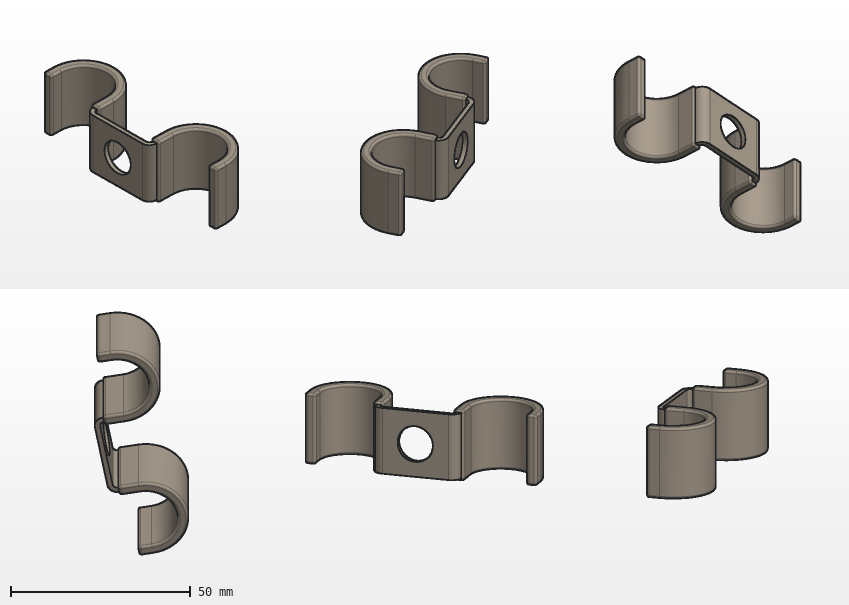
import cadquery as cq

overall_length = 68.1
strip_thickness = 1.5
strip_width = 19.05
sleeve_cover = 0.75
hook_outer_radius = 11.85
free_leg_length = 3.9
inner_leg_length = 5.8
strip_drop = 8.65
bend_inner_radius = 1.35
hole_diameter = 10.35

sleeve_thickness = strip_thickness + 2 * sleeve_cover
sleeve_width = strip_width + 2 * sleeve_cover
hook_inner_radius = hook_outer_radius - sleeve_thickness
hook_center_x = overall_length / 2 - hook_outer_radius
bend_outer_radius = bend_inner_radius + strip_thickness
strip_half_length = hook_center_x - hook_inner_radius - sleeve_cover
strip_top = strip_thickness - strip_drop



def make_hook():
    """Left-hand sleeve: a half ring with two straight legs and rounded edges."""
    outer = hook_outer_radius
    inner = hook_inner_radius
    return (
        cq.Workplane("XY")
        .center(-hook_center_x, 0)
        .moveTo(-outer, -free_leg_length)
        .lineTo(-outer, 0)
        .threePointArc((0, outer), (outer, 0))
        .lineTo(outer, -inner_leg_length)
        .lineTo(inner, -inner_leg_length)
        .lineTo(inner, 0)
        .threePointArc((0, inner), (-inner, 0))
        .lineTo(-inner, -free_leg_length)
        .close()
        .extrude(sleeve_width / 2, both=True)
        .edges("|Z or #Z")
        .fillet(sleeve_cover)
    )


def make_strip():
    """Bent strip whose upturned ends run into the inner legs of the sleeves."""
    height = strip_drop - inner_leg_length / 2
    inner_half_length = strip_half_length - strip_thickness
    channel = (
        cq.Workplane("XY")
        .center(0, -strip_drop + height / 2)
        .rect(2 * strip_half_length, height)
        .extrude(strip_width / 2, both=True)
        .edges("|Z and <Y")
        .fillet(bend_outer_radius)
    )
    opening = (
        cq.Workplane("XY")
        .center(0, strip_top + height / 2)
        .rect(2 * inner_half_length, height)
        .extrude(strip_width / 2, both=True)
        .edges("|Z and <Y")
        .fillet(bend_inner_radius)
    )
    hole = (
        cq.Workplane("XZ", origin=(0, strip_top, 0))
        .circle(hole_diameter / 2)
        .extrude(strip_thickness)
    )
    return channel.cut(opening).cut(hole)


left_hook = make_hook()
right_hook = left_hook.mirror("YZ")
result = make_strip().union(left_hook).union(right_hook)